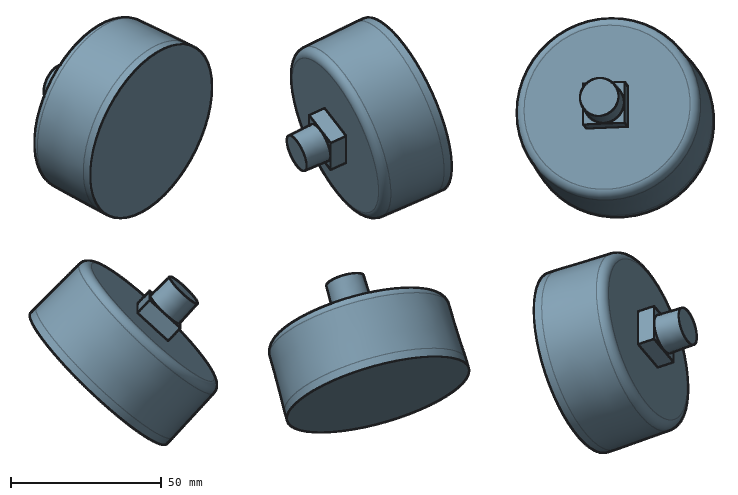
import cadquery as cq

stem_length = 9.0
square_length = 6.0
drum_length = 26.35
rim_length = 3.0

stem_tip_radius = 6.5
stem_base_radius = 6.75
square_side = 14.0
drum_front_radius = 31.0
rim_radius = 31.5
front_fillet = 3.0

square_start = stem_length
drum_start = square_start + square_length
drum_end = drum_start + drum_length
rim_start = drum_end - rim_length


def revolve_about_x(profile_points):
    """Solid of revolution about the X axis from (x, radius) points."""
    profile = cq.Workplane("XY").polyline(profile_points).close()
    return profile.revolve(360, (0, 0, 0), (1, 0, 0))


def make_drum():
    """Drum that widens toward a straight rear rim, with a rounded front edge."""
    drum = revolve_about_x([
        (drum_start, 0),
        (drum_start, drum_front_radius),
        (rim_start, rim_radius),
        (drum_end, rim_radius),
        (drum_end, 0),
    ])
    return drum.faces("<X").edges().fillet(front_fillet)


def make_square():
    """Square block between the drum and the stem."""
    section = cq.Workplane("YZ", origin=(square_start, 0, 0)).rect(square_side, square_side)
    return section.extrude(square_length)


def make_stem():
    """Round stem that widens slightly toward the square block."""
    return revolve_about_x([
        (0, 0),
        (0, stem_tip_radius),
        (stem_length, stem_base_radius),
        (stem_length, 0),
    ])


result = make_drum().union(make_square()).union(make_stem())